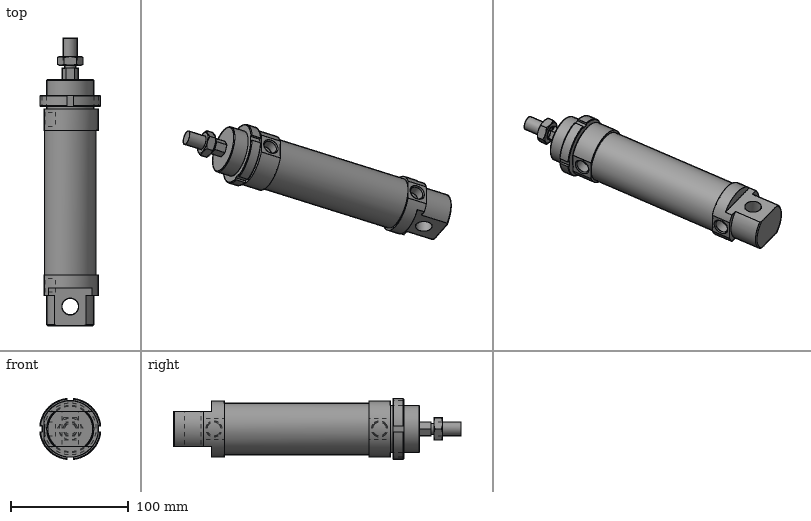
import cadquery as cq
import math


length = 244.0
rear_cap_end = 25.5
lug_shoulder = 32.2
rear_cap_start = 43.2
front_cap_start = 165.7
front_cap_end = 184.0
collar_face = 208.9

cap_radius = 24.0
barrel_radius = 22.0
collar_radius = 20.0
collar_chamfer = 0.7
lug_thickness = 30.0
lug_chamfer = 1.0
pivot_y = 16.3
pivot_diameter = 14.0

port_flat_x = 22.2
port_diameter = 11.7
port_rim_diameter = 13.7
port_depth = 9.8

mount_nut_start = 186.2
mount_nut_end = 195.5
mount_nut_diameter = 52.0
mount_nut_radius = mount_nut_diameter / 2
mount_nut_front_chamfer = 0.7
mount_nut_rear_chamfer = 0.5
mount_slot_count = 4
mount_slot_width = 5.1
mount_slot_floor = 24.0

rod_diameter = 12.0
rod_hex_flats = 12.0
rod_hex_end = 218.6
neck_diameter = 9.5

rod_nut_start = 220.8
rod_nut_end = 228.5
rod_nut_flats = 19.0
rod_nut_face_radius = 9.3
rod_nut_chamfer_angle = 30

hex_corner_ratio = 1 / math.cos(math.pi / 6)


def cross_section(y):
    """Plane across the axis at y, centred on it, with its normal along +Y."""
    return cq.Workplane(cq.Plane(origin=(0, y, 0), xDir=(-1, 0, 0), normal=(0, 1, 0)))


def cylinder(radius, y_start, y_end):
    return cross_section(y_start).circle(radius).extrude(y_end - y_start)


def hexagon(across_flats, y_start, y_end):
    """Hexagonal prism with corners on +X and -X."""
    across_corners = across_flats * hex_corner_ratio
    return cross_section(y_start).polygon(6, across_corners).extrude(y_end - y_start)


def cut_lug_flats(body):
    """Flatten the rear lug above and below, running into the rear cap as far as the shoulder."""
    for side in (1, -1):
        waste = cq.Workplane("XY").box(
            2 * cap_radius, lug_shoulder, cap_radius, centered=(True, False, True)
        )
        body = body.cut(waste.translate((0, 0, side * (lug_thickness + cap_radius) / 2)))
    return body


def cut_port(body, y_start, y_end):
    """Flat across one cap on the -X side, with a blind, countersunk port in its middle."""
    flat_depth = cap_radius - port_flat_x
    flat = cq.Workplane("XY").box(
        flat_depth, y_end - y_start, 2 * cap_radius, centered=(False, False, True)
    )
    body = body.cut(flat.translate((-cap_radius, y_start, 0)))
    face = cq.Plane(origin=(-port_flat_x, (y_start + y_end) / 2, 0), xDir=(0, 1, 0), normal=(1, 0, 0))
    port = cq.Workplane(face).circle(port_diameter / 2).extrude(port_depth)
    rim_depth = (port_rim_diameter - port_diameter) / 2
    rim = cq.Workplane(face).circle(port_rim_diameter / 2).extrude(rim_depth, taper=45)
    return body.cut(port).cut(rim)


def make_housing():
    lug = cylinder(collar_radius, 0, rear_cap_end).faces("<Y").chamfer(lug_chamfer)
    rear_cap = cylinder(cap_radius, rear_cap_end, rear_cap_start)
    barrel = cylinder(barrel_radius, rear_cap_start, front_cap_start)
    front_cap = cylinder(cap_radius, front_cap_start, front_cap_end)
    collar = cylinder(collar_radius, front_cap_end, collar_face).faces(">Y").chamfer(collar_chamfer)
    body = lug.union(rear_cap).union(barrel).union(front_cap).union(collar)
    body = cut_lug_flats(body)
    body = cut_port(body, rear_cap_end, rear_cap_start)
    body = cut_port(body, front_cap_start, front_cap_end)
    pivot = cq.Workplane("XY").center(0, pivot_y).circle(pivot_diameter / 2)
    return body.cut(pivot.extrude(lug_thickness, both=True))


def make_mounting_nut():
    """Ring nut on the collar, with spanner slots around its rim."""
    nut = cylinder(mount_nut_radius, mount_nut_start, mount_nut_end)
    nut = nut.faces(">Y").chamfer(mount_nut_front_chamfer)
    nut = nut.faces("<Y").chamfer(mount_nut_rear_chamfer)
    nut = nut.cut(cylinder(collar_radius, mount_nut_start, mount_nut_end))
    slot = cq.Workplane("XY").box(
        mount_nut_radius, mount_nut_end - mount_nut_start, mount_slot_width, centered=(False, False, True)
    )
    slot = slot.translate((mount_slot_floor, mount_nut_start, 0))
    for i in range(mount_slot_count):
        nut = nut.cut(slot.rotate((0, 0, 0), (0, 1, 0), i * 360 / mount_slot_count))
    return nut


def make_rod():
    """Rod end standing on the collar face: spanner hexagon, neck and plain shank."""
    spanner_hex = hexagon(rod_hex_flats, collar_face, rod_hex_end)
    neck = cylinder(neck_diameter / 2, rod_hex_end, rod_nut_start)
    shank = cylinder(rod_diameter / 2, rod_nut_start, length)
    return spanner_hex.union(neck).union(shank)


def make_rod_nut():
    """Hexagon nut with the corners turned off at both ends."""
    nut = hexagon(rod_nut_flats, rod_nut_start, rod_nut_end)
    corner_radius = rod_nut_flats / 2 * hex_corner_ratio
    chamfer_width = corner_radius - rod_nut_face_radius
    chamfer_height = chamfer_width * math.tan(math.radians(rod_nut_chamfer_angle))
    profile = [
        (0, rod_nut_start),
        (rod_nut_face_radius, rod_nut_start),
        (corner_radius, rod_nut_start + chamfer_height),
        (corner_radius, rod_nut_end - chamfer_height),
        (rod_nut_face_radius, rod_nut_end),
        (0, rod_nut_end),
    ]
    envelope = cq.Workplane("XY").polyline(profile).close().revolve(360, (0, 0, 0), (0, 1, 0))
    return nut.intersect(envelope).cut(cylinder(rod_diameter / 2, rod_nut_start, rod_nut_end))


housing = make_housing()
mounting_nut = make_mounting_nut()
rod = make_rod()
rod_nut = make_rod_nut()

result = cq.Compound.makeCompound([housing.val(), mounting_nut.val(), rod.val(), rod_nut.val()])